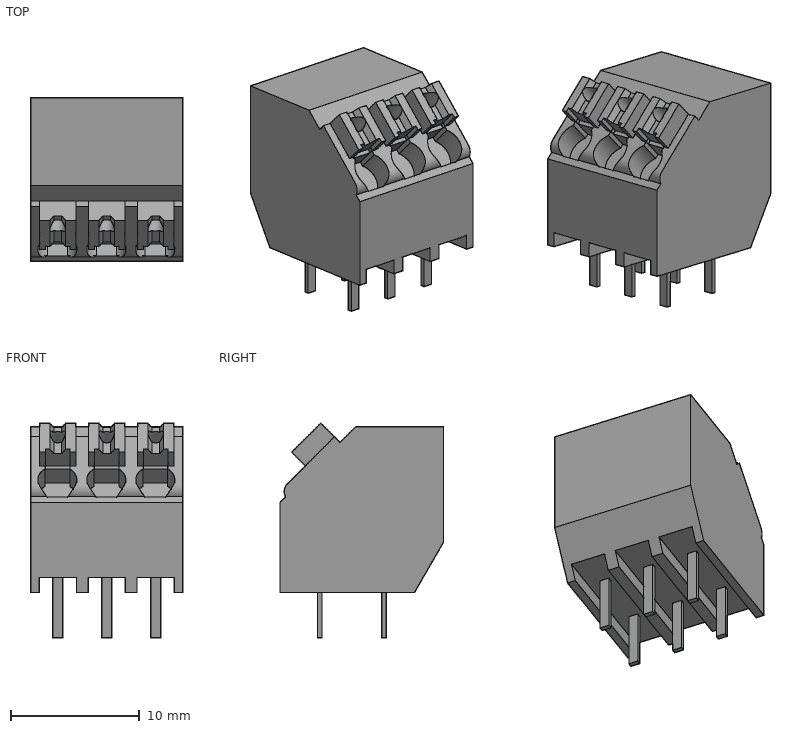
import cadquery as cq
import math


POLES = 3
PITCH = 3.8
WIDTH = 11.81
POLE_CENTRES = [WIDTH / 2 + (i - (POLES - 1) / 2) * PITCH for i in range(POLES)]

TOTAL_HEIGHT = 16.66
LEVER_HEIGHT = 1.5
RIDGE_Z = TOTAL_HEIGHT - LEVER_HEIGHT / math.sqrt(2)

DEPTH = 12.7
TOP_Z = 16.4
FOOT_Z = 3.52
CEILING_Z = 4.66
FOOT_GAP = 2.87
FRONT_TOP_Z = 10.51
LEDGE_DEPTH = 0.43
SLOPE_START_Y = 0.57
RIDGE_Y = 4.23
NOTCH_DROP = 0.43
BACK_BEVEL_Y = 2.25
BACK_BEVEL_Z = BACK_BEVEL_Y * math.tan(math.radians(60))

LEVER_WIDTH = 2.82
LEVER_LENGTH = 3.2
LEVER_SINK = NOTCH_DROP * math.sqrt(2)
STEP_WIDTH = 1.93
STEP_LENGTH = 0.33
FOOT_FRONT_UP = STEP_LENGTH - LEVER_LENGTH
CHANNEL_DEPTH = 0.33

GROOVE_TOP_WIDTH = 1.23
GROOVE_FLOOR_WIDTH = 0.6
GROOVE_DEPTH = 0.5
LEVER_HOLE_RADIUS = 0.62
LEVER_HOLE_UP = -1.05

ENTRY_RADIUS = 1.52
ENTRY_UP = -4.71
ENTRY_DEPTH = 1.9
ENTRY_SHIFT_X = -0.03
ENTRY_TOP_UP = -3.18
ENTRY_BOTTOM_UP = -6.01

PIN_WIDTH = 0.78
PIN_THICKNESS = 0.37
PIN_FRONT_Y = 3.08
PIN_ROWS = 2
PIN_ROW_SPACING = 5.0


def slope_plane(x, out=0.0):
    """Workplane parallel to the slope at pole position x, raised by out."""
    plane = cq.Plane(origin=(x, RIDGE_Y, RIDGE_Z), xDir=(1, 0, 0), normal=(0, -1, 1))
    return cq.Workplane(plane).workplane(offset=out)


def slope_block(x, width, up_from, up_to, out_from, out_to):
    """Block on the slope, centred on x."""
    return (
        slope_plane(x, out_from)
        .center(0, (up_from + up_to) / 2)
        .rect(width, up_to - up_from)
        .extrude(out_to - out_from)
    )


def housing_block():
    """Side profile drawn out along the row of poles."""
    slope_start_z = RIDGE_Z - (RIDGE_Y - SLOPE_START_Y)
    notch_y = RIDGE_Y + NOTCH_DROP
    notch_z = RIDGE_Z - NOTCH_DROP
    lip_end = (LEDGE_DEPTH, FRONT_TOP_Z + LEDGE_DEPTH)
    slope_start = (SLOPE_START_Y, slope_start_z)
    return (
        cq.Workplane("YZ")
        .moveTo(DEPTH - BACK_BEVEL_Y, FOOT_Z)
        .lineTo(DEPTH, FOOT_Z + BACK_BEVEL_Z)
        .lineTo(DEPTH, TOP_Z)
        .lineTo(notch_y + TOP_Z - notch_z, TOP_Z)
        .lineTo(notch_y, notch_z)
        .lineTo(RIDGE_Y, RIDGE_Z)
        .lineTo(*slope_start)
        .tangentArcPoint(lip_end, relative=False)
        .lineTo(0, FRONT_TOP_Z)
        .lineTo(0, FOOT_Z)
        .close()
        .extrude(WIDTH)
    )


def foot_gap(x):
    """Front-to-back opening between two neighbouring feet."""
    return cq.Workplane("XY").box(
        FOOT_GAP, DEPTH, CEILING_Z - FOOT_Z, centered=(True, False, False)
    ).translate((x, 0, FOOT_Z))


def wire_entry(x):
    """Round pocket with a squared-off upper end and a flat across its lower end."""
    entry_x = x + ENTRY_SHIFT_X
    round_pocket = (
        slope_plane(entry_x, -ENTRY_DEPTH)
        .center(0, ENTRY_UP)
        .circle(ENTRY_RADIUS)
        .extrude(2 * ENTRY_DEPTH)
    )
    kept = slope_block(
        entry_x, 2 * ENTRY_RADIUS, ENTRY_BOTTOM_UP, ENTRY_TOP_UP, -ENTRY_DEPTH, ENTRY_DEPTH
    )
    square_end = slope_block(entry_x, STEP_WIDTH, ENTRY_UP, ENTRY_TOP_UP, -ENTRY_DEPTH, 0)
    return round_pocket.intersect(kept).union(square_end)


def lever_seat(x):
    """Recess for the lever foot, and the channel joining it to the wire entry."""
    seat = slope_block(x, LEVER_WIDTH, FOOT_FRONT_UP, 0, -LEVER_SINK, 0)
    channel = slope_block(x, STEP_WIDTH, ENTRY_TOP_UP, FOOT_FRONT_UP, -CHANNEL_DEPTH, 0)
    return seat.union(channel)


def make_housing():
    body = housing_block()
    for x in POLE_CENTRES:
        body = body.cut(foot_gap(x)).cut(wire_entry(x)).cut(lever_seat(x))
    return body


def lever_groove(x):
    """Tapered groove along the whole top of the lever."""
    return (
        slope_plane(x, LEVER_HEIGHT)
        .transformed(rotate=(90, 0, 0))
        .moveTo(-GROOVE_TOP_WIDTH / 2, 0)
        .lineTo(GROOVE_TOP_WIDTH / 2, 0)
        .lineTo(GROOVE_FLOOR_WIDTH / 2, -GROOVE_DEPTH)
        .lineTo(-GROOVE_FLOOR_WIDTH / 2, -GROOVE_DEPTH)
        .close()
        .extrude(LEVER_LENGTH)
    )


def lever_hole(x):
    """Round hole through the lever, square to the slope."""
    return (
        slope_plane(x, -LEVER_SINK)
        .center(0, LEVER_HOLE_UP)
        .circle(LEVER_HOLE_RADIUS)
        .extrude(LEVER_SINK + LEVER_HEIGHT)
    )


def make_lever(x):
    """Head on the slope, with a foot sunk into the housing."""
    head = slope_block(x, LEVER_WIDTH, -LEVER_LENGTH, 0, 0, LEVER_HEIGHT)
    step = slope_block(x, STEP_WIDTH, -LEVER_LENGTH, FOOT_FRONT_UP, 0, LEVER_HEIGHT)
    foot = slope_block(x, LEVER_WIDTH, FOOT_FRONT_UP, 0, -LEVER_SINK, 0)
    return head.cut(step).union(foot).cut(lever_groove(x)).cut(lever_hole(x))


def make_pin(x, y):
    """Solder pin standing under the housing ceiling."""
    return cq.Workplane("XY").box(
        PIN_WIDTH, PIN_THICKNESS, CEILING_Z, centered=(True, True, False)
    ).translate((x, y, 0))


housing = make_housing()
levers = [make_lever(x) for x in POLE_CENTRES]
pins = [
    make_pin(x, PIN_FRONT_Y + row * PIN_ROW_SPACING)
    for row in range(PIN_ROWS)
    for x in POLE_CENTRES
]

result = cq.Compound.makeCompound(
    [housing.val()] + [lever.val() for lever in levers] + [pin.val() for pin in pins]
)